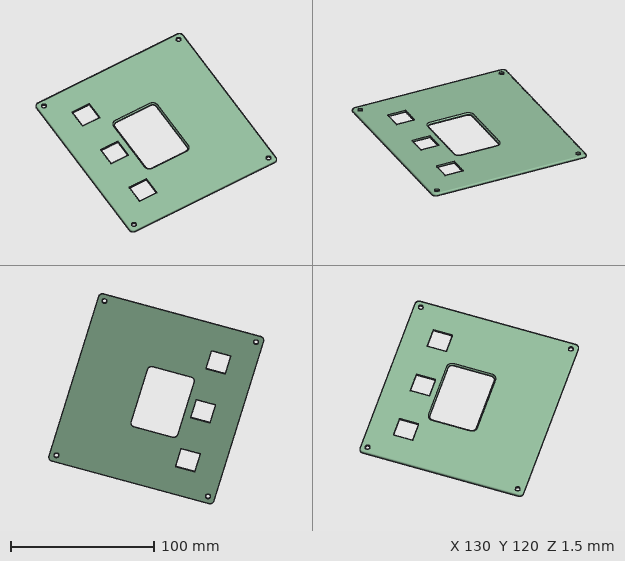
import cadquery as cq

LENGTH = 130.0
WIDTH = 120.0
THICKNESS = 1.5
CORNER_RADIUS = 3.0
RIM_FILLET = 1.0

HOLE_DIAMETER = 3.4
HOLE_INSET = 5.0

WINDOW_LENGTH = 46.8
WINDOW_WIDTH = 33.8
WINDOW_RADIUS = 3.0
WINDOW_X = 1.0
WINDOW_Y = -5.0
WINDOW_CHAMFER = 1.0

BUTTON_SIDE = 14.0
BUTTON_COUNT = 3
BUTTON_PITCH = 38.1
BUTTON_X = -0.1
BUTTON_Y = -34.0


def rounded_block(length, width, corner_radius):
    """Block as thick as the plate, standing on Z = 0, with rounded upright edges."""
    block = cq.Workplane("XY").rect(length, width).extrude(THICKNESS)
    return block.edges("|Z").fillet(corner_radius)


def make_plate():
    """Plate with its outer top rim rounded over."""
    plate = rounded_block(LENGTH, WIDTH, CORNER_RADIUS)
    return plate.faces(">Z").edges().fillet(RIM_FILLET)


def cut_window(plate):
    """Cut the display window through the plate and chamfer its top rim."""
    window = rounded_block(WINDOW_LENGTH, WINDOW_WIDTH, WINDOW_RADIUS)
    plate = plate.cut(window.translate((WINDOW_X, WINDOW_Y, 0)))
    window_rim = plate.faces(">Z").val().innerWires()[0]
    return plate.newObject(window_rim.Edges()).chamfer(WINDOW_CHAMFER)


def make_screw_holes():
    """Through cylinders near the four corners."""
    spacing_x = LENGTH - 2 * HOLE_INSET
    spacing_y = WIDTH - 2 * HOLE_INSET
    centers = cq.Workplane("XY").rarray(spacing_x, spacing_y, 2, 2)
    return centers.circle(HOLE_DIAMETER / 2).extrude(THICKNESS)


def make_button_openings():
    """Square through openings in one row along X."""
    row = cq.Workplane("XY").center(BUTTON_X, BUTTON_Y).rarray(BUTTON_PITCH, 1.3, BUTTON_COUNT, 1)
    return row.rect(BUTTON_SIDE, BUTTON_SIDE).extrude(THICKNESS)


result = cut_window(make_plate())
result = result.cut(make_screw_holes())
result = result.cut(make_button_openings())